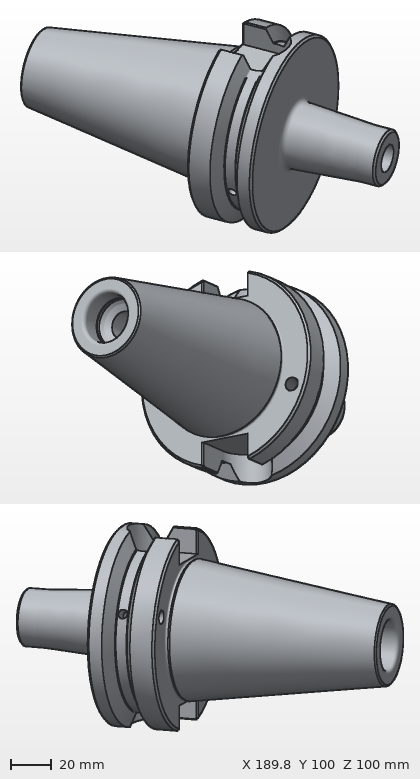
import cadquery as cq
import math

total_length = 189.8
taper_length = 102.1
flange_front = 104.8
flange_back = 139.9
nose_taper_end = 179.4

flange_radius = 50.01
taper_large_radius = 35.1
taper_slope = 7 / 48
taper_small_radius = taper_large_radius - taper_length * taper_slope
relief_radius = 34.4
relief_chamfer_length = 1.1
relief_fillet = 0.8
nose_root_radius = 16.9
nose_tip_radius = 14.5
nose_fillet = 2.7
edge_chamfer = 1.1
tip_chamfer = 1.1
taper_edge_chamfer = 0.8

groove_center = 124.7
groove_root_half_width = 3.0
groove_root_radius = 42.5
groove_flank_angle = 30
groove_root_fillet = 0.5
groove_depth = flange_radius - groove_root_radius
groove_half_width = groove_root_half_width + groove_depth * math.tan(math.radians(groove_flank_angle))

slot_half_width = 13.0
slot_floor = 35.3
slot_end = 136.0
slot_edge_chamfer = 0.8

mouth_rounding = 1.9
pilot_radius = 12.5
pilot_length = 10.6
pilot_step = 0.4
pilot_depth = 12.5
drill_radius = 10.5
drill_point_length = 1.9
through_radius = 7.0

port_angle = 20
port_mouth_radius = 42.0
port_tilt = 25
port_diameter = 6.6
plug_diameter = 4.5
port_overshoot = 3.8

pick_margin = 0.2


def make_body():
    """Taper shank, grooved flange and nose, turned about X."""
    profile = (
        cq.Workplane("XY")
        .moveTo(0, 0)
        .lineTo(0, taper_small_radius - taper_edge_chamfer)
        .lineTo(taper_edge_chamfer, taper_small_radius + taper_edge_chamfer * taper_slope)
        .lineTo(taper_length, taper_large_radius)
        .lineTo(taper_length + relief_chamfer_length, relief_radius)
        .lineTo(flange_front - relief_fillet, relief_radius)
        .radiusArc((flange_front, relief_radius + relief_fillet), -relief_fillet)
        .lineTo(flange_front, flange_radius - edge_chamfer)
        .lineTo(flange_front + edge_chamfer, flange_radius)
        .lineTo(groove_center - groove_half_width, flange_radius)
        .lineTo(groove_center - groove_root_half_width, groove_root_radius)
        .lineTo(groove_center + groove_root_half_width, groove_root_radius)
        .lineTo(groove_center + groove_half_width, flange_radius)
        .lineTo(flange_back - edge_chamfer, flange_radius)
        .lineTo(flange_back, flange_radius - edge_chamfer)
        .lineTo(flange_back, nose_root_radius + nose_fillet)
        .radiusArc((flange_back + nose_fillet, nose_root_radius), -nose_fillet)
        .lineTo(nose_taper_end, nose_tip_radius)
        .lineTo(total_length - tip_chamfer, nose_tip_radius)
        .lineTo(total_length, nose_tip_radius - tip_chamfer)
        .lineTo(total_length, 0)
        .close()
    )
    body = profile.revolve(360, (0, 0, 0), (1, 0, 0))
    root = cq.selectors.BoxSelector(
        (groove_center - groove_root_half_width - pick_margin, -flange_radius, -flange_radius),
        (groove_center + groove_root_half_width + pick_margin, flange_radius, flange_radius),
    )
    return body.edges("%CIRCLE").edges(root).fillet(groove_root_fillet)


def make_bore():
    """Stepped bore with a rounded mouth at the small end of the taper."""
    stepped_radius = pilot_radius - pilot_step
    seat_end = pilot_depth + stepped_radius - drill_radius
    profile = (
        cq.Workplane("XY")
        .moveTo(0, 0)
        .lineTo(0, pilot_radius + mouth_rounding)
        .radiusArc((mouth_rounding, pilot_radius), -mouth_rounding)
        .lineTo(pilot_length, pilot_radius)
        .lineTo(pilot_length, stepped_radius)
        .lineTo(pilot_depth, stepped_radius)
        .lineTo(seat_end, drill_radius)
        .lineTo(seat_end + drill_point_length, through_radius)
        .lineTo(total_length, through_radius)
        .lineTo(total_length, 0)
        .close()
    )
    return profile.revolve(360, (0, 0, 0), (1, 0, 0))


def make_drive_slot():
    """Round-ended slot cutter on the +Z side."""
    arc_center = slot_end - slot_half_width
    return (
        cq.Workplane("XY", origin=(0, 0, slot_floor))
        .moveTo(taper_length, -slot_half_width)
        .lineTo(arc_center, -slot_half_width)
        .threePointArc((slot_end, 0), (arc_center, slot_half_width))
        .lineTo(taper_length, slot_half_width)
        .close()
        .extrude(flange_radius)
    )


def make_coolant_port():
    """Tilted blind hole from the flange face, met by a radial plug hole from the groove."""
    tilt = math.radians(port_tilt)
    plug_depth_radius = port_mouth_radius - (groove_center - flange_front) * math.tan(tilt)
    mouth = cq.Vector(flange_front, port_mouth_radius, 0)
    direction = cq.Vector(math.cos(tilt), -math.sin(tilt), 0)
    length = (groove_center - flange_front) / math.cos(tilt)
    tilted_hole = cq.Solid.makeCylinder(
        port_diameter / 2,
        length + 2 * port_overshoot,
        mouth - direction * port_overshoot,
        direction,
    )
    plug_hole = cq.Solid.makeCylinder(
        plug_diameter / 2,
        flange_radius - plug_depth_radius,
        cq.Vector(groove_center, plug_depth_radius, 0),
        cq.Vector(0, 1, 0),
    )
    return cq.Workplane(tilted_hole).union(cq.Workplane(plug_hole))


def slot_edge_box(side):
    """Box around the slot's wall edges on the flange's front part, on one side of Y and Z."""
    y_side, z_side = side
    near = (
        flange_front - pick_margin,
        y_side * (slot_half_width - pick_margin),
        z_side * (slot_floor + pick_margin),
    )
    far = (
        groove_center - groove_half_width + pick_margin,
        y_side * (slot_half_width + pick_margin),
        z_side * flange_radius,
    )
    return cq.selectors.BoxSelector(near, far)


result = make_body().cut(make_bore())
for turn in (0, 180):
    result = result.cut(make_drive_slot().rotate((0, 0, 0), (1, 0, 0), turn))
for side in ((1, 1), (1, -1), (-1, 1), (-1, -1)):
    result = result.edges(slot_edge_box(side)).chamfer(slot_edge_chamfer)
for turn in (0, 180):
    result = result.cut(make_coolant_port().rotate((0, 0, 0), (1, 0, 0), turn + port_angle))